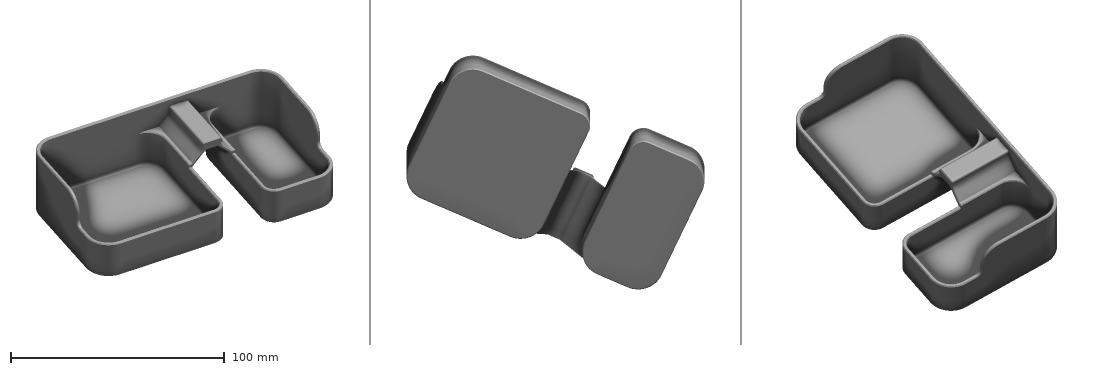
import cadquery as cq
import math

width = 70.0
length = 130.0
height = 35.0

large_length = 69.4
small_length = 39.5
wall = 2.0
floor = 2.0
floor_fillet = 1.4
low_rim = 19.0
corner_radius = 12.0
gap_corner_radius = 7.0
edge_break = 0.5
gap_start = large_length
gap_end = length - small_length
gap_middle = (gap_start + gap_end) / 2
gap_half = (gap_end - gap_start) / 2

step_x = 48.8
step_top_radius = 10.0
step_foot_radius = 3.0

bridge_width = 34.5
bridge_top = 30.8
bridge_foot = low_rim + wall
bridge_half_top = 5.1
bridge_crest_radius = 1.0
bridge_cove_radius = 5.0
arch_top = 26.4
arch_half_flat = gap_half + low_rim - arch_top
bridge_reach = gap_half + corner_radius


def rounded_block(y_start, y_end, gap_y, bottom, inset=0):
    """Upright block of a tray; its open corner at the gap has the smaller radius."""
    block = cq.Workplane("XY").box(
        width - 2 * inset, y_end - y_start - 2 * inset, height - bottom, centered=False
    )
    block = block.translate((inset, y_start + inset, bottom))
    open_corner = cq.selectors.NearestToPointSelector((width - inset, gap_y, (bottom + height) / 2))
    block = block.edges(open_corner).fillet(gap_corner_radius - inset)
    outer_side = "<Y" if gap_y == y_end else ">Y"
    return block.edges("|Z").edges(f"<X or {outer_side}").fillet(corner_radius - inset)


def pocket(y_start, y_end, gap_y):
    """Space inside a tray, rounded where the floor meets the walls."""
    return rounded_block(y_start, y_end, gap_y, floor, wall).faces("<Z").edges().fillet(floor_fillet)


def across_gap(offset):
    """Y places at equal offsets on both sides of the gap middle."""
    return gap_middle - offset, gap_middle + offset


def bridge_block():
    """Full-height block from the side wall across the gap, reaching into the tray corners."""
    block = cq.Workplane("XY").box(bridge_width, 2 * bridge_reach, height, centered=False)
    return block.translate((0, gap_middle - bridge_reach, 0))


def arch_space():
    """Space under the bridge: a flat-topped arch with 45 degree flanks."""
    springing = arch_top - (bridge_reach - arch_half_flat)
    outer_left, outer_right = across_gap(bridge_reach)
    flat_left, flat_right = across_gap(arch_half_flat)
    return (
        cq.Workplane("YZ")
        .polyline([
            (outer_left, 0),
            (outer_left, springing),
            (flat_left, arch_top),
            (flat_right, arch_top),
            (outer_right, springing),
            (outer_right, 0),
        ])
        .close()
        .extrude(bridge_width)
    )


def bridge_clearance(x):
    """Closed outline of the space above the bridge, in the YZ plane at x."""
    diagonal = math.sin(math.radians(45))
    slope_end = bridge_half_top + bridge_cove_radius * (1 - diagonal)
    slope_top = bridge_foot + gap_half - slope_end
    cove_top = slope_top + bridge_cove_radius * diagonal
    outer_left, outer_right = across_gap(bridge_reach)
    foot_left, foot_right = across_gap(gap_half)
    slope_left, slope_right = across_gap(slope_end)
    side_left, side_right = across_gap(bridge_half_top)
    crest_left, crest_right = across_gap(bridge_half_top - bridge_crest_radius)
    return (
        cq.Workplane("YZ", origin=(x, 0, 0))
        .moveTo(outer_left, height)
        .lineTo(outer_left, bridge_foot)
        .lineTo(foot_left, bridge_foot)
        .lineTo(slope_left, slope_top)
        .radiusArc((side_left, cove_top), -bridge_cove_radius)
        .lineTo(side_left, bridge_top - bridge_crest_radius)
        .radiusArc((crest_left, bridge_top), bridge_crest_radius)
        .lineTo(crest_right, bridge_top)
        .radiusArc((side_right, bridge_top - bridge_crest_radius), bridge_crest_radius)
        .lineTo(side_right, cove_top)
        .radiusArc((slope_right, slope_top), -bridge_cove_radius)
        .lineTo(foot_right, bridge_foot)
        .lineTo(outer_right, bridge_foot)
        .lineTo(outer_right, height)
        .close()
    )


def space_over_bridge():
    """Space beside the tall side wall, flared at the free end to chamfer the bridge."""
    space = bridge_clearance(wall).extrude(bridge_width - wall)
    flare = bridge_clearance(bridge_width - edge_break).extrude(edge_break, taper=-45)
    return space.union(flare)


def foot_flare(y_start, y_end, gap_y):
    """Chamfer where the bridge foot meets a pocket, on the bridge only."""
    flare = (
        pocket(y_start, y_end, gap_y)
        .faces(">Z")
        .wires()
        .toPending()
        .extrude(edge_break, combine=False, taper=-45)
        .translate((0, 0, bridge_foot - edge_break - height))
    )
    bridge_zone = cq.Workplane("XY").box(
        bridge_width - wall, 2 * bridge_reach, height, centered=False
    ).translate((wall, gap_middle - bridge_reach, 0))
    return flare.intersect(bridge_zone)


def space_over_low_walls():
    """Space above the low rim beside the bridge."""
    return cq.Workplane("XY").box(
        width - bridge_width, 2 * bridge_reach, height - low_rim, centered=False
    ).translate((bridge_width, gap_middle - bridge_reach, low_rim))


def space_over_step():
    """Space beyond the rounded step of the end walls, along the whole length."""
    return (
        cq.Workplane("XZ")
        .moveTo(step_x - step_top_radius, height)
        .radiusArc((step_x, height - step_top_radius), step_top_radius)
        .lineTo(step_x, low_rim + step_foot_radius)
        .radiusArc((step_x + step_foot_radius, low_rim), -step_foot_radius)
        .lineTo(width, low_rim)
        .lineTo(width, height)
        .close()
        .extrude(-length)
    )


trays = [(0, gap_start, gap_start), (gap_end, length, gap_end)]

result = bridge_block()
under_bridge = arch_space()
for tray in trays:
    result = result.union(rounded_block(*tray, bottom=0))
    under_bridge = under_bridge.cut(rounded_block(*tray, bottom=0))
for tray in trays:
    result = result.cut(pocket(*tray))
result = result.cut(space_over_bridge()).cut(space_over_low_walls()).cut(space_over_step())

for rim_x in (0, wall):
    rim_edge = cq.selectors.NearestToPointSelector((rim_x, length / 2, height))
    result = result.edges(rim_edge).chamfer(edge_break)

result = result.cut(under_bridge)
result = result.faces("<Z").edges().chamfer(edge_break)
for tray in trays:
    result = result.cut(foot_flare(*tray))